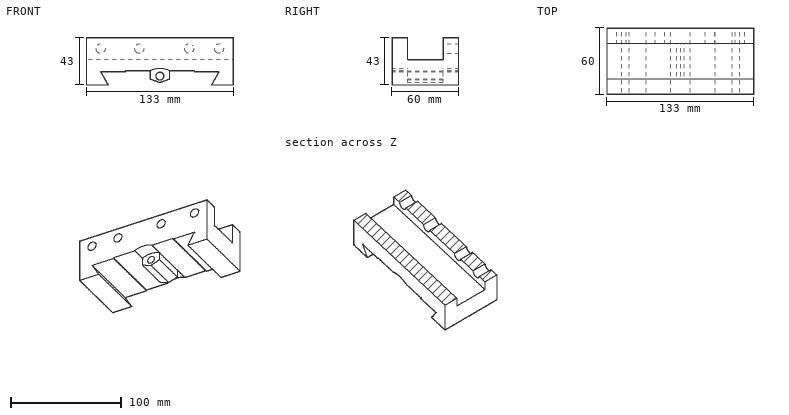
import cadquery as cq

length = 133.0
width = 60.0
height = 43.0

wall = 14.0
channel_floor = 23.0
channel_width = width - 2 * wall

dovetail_mouth_half = 46.5
dovetail_root_half = 53.3
dovetail_depth = 12.0
relief_half = 31.1
relief_depth = 12.8

lug_half = 8.9
lug_shoulder = 5.3
lug_tip = 2.1
lug_length = channel_width
arch_spring = 13.0
arch_crown = 15.0
lug_hole_diameter = 6.9
lug_hole_height = 8.1

wall_hole_diameter = 8.5
wall_hole_height = (channel_floor + height) / 2
wall_hole_places = (-53.5, -18.6, 26.5, 53.5)


def along_y(sketch, extent):
    """Extrude an XZ outline symmetrically about the Y = 0 plane."""
    return sketch.extrude(extent / 2, both=True)


def make_block():
    block = cq.Workplane("XY").box(length, width, height, centered=(True, True, False))
    channel = (
        cq.Workplane("XY", origin=(0, 0, channel_floor))
        .box(length, channel_width, height - channel_floor, centered=(True, True, False))
    )
    return block.cut(channel)


def make_dovetail():
    outline = (
        cq.Workplane("XZ")
        .moveTo(-dovetail_mouth_half, 0)
        .lineTo(-dovetail_root_half, dovetail_depth)
        .lineTo(-relief_half, dovetail_depth)
        .lineTo(-relief_half, relief_depth)
        .lineTo(-lug_half, relief_depth)
        .lineTo(-lug_half, arch_spring)
        .threePointArc((0, arch_crown), (lug_half, arch_spring))
        .lineTo(lug_half, relief_depth)
        .lineTo(relief_half, relief_depth)
        .lineTo(relief_half, dovetail_depth)
        .lineTo(dovetail_root_half, dovetail_depth)
        .lineTo(dovetail_mouth_half, 0)
        .close()
    )
    return along_y(outline, width)


def make_lug():
    outline = (
        cq.Workplane("XZ")
        .moveTo(-lug_half, arch_spring)
        .lineTo(-lug_half, lug_shoulder)
        .lineTo(0, lug_tip)
        .lineTo(lug_half, lug_shoulder)
        .lineTo(lug_half, arch_spring)
        .threePointArc((0, arch_crown), (-lug_half, arch_spring))
        .close()
    )
    hole = cq.Workplane("XZ").center(0, lug_hole_height).circle(lug_hole_diameter / 2)
    return along_y(outline, lug_length).cut(along_y(hole, lug_length))


def make_wall_holes():
    return (
        cq.Workplane("XZ", origin=(0, width / 2, 0))
        .pushPoints([(x, wall_hole_height) for x in wall_hole_places])
        .circle(wall_hole_diameter / 2)
        .extrude(wall)
    )


result = make_block().cut(make_dovetail()).union(make_lug()).cut(make_wall_holes())